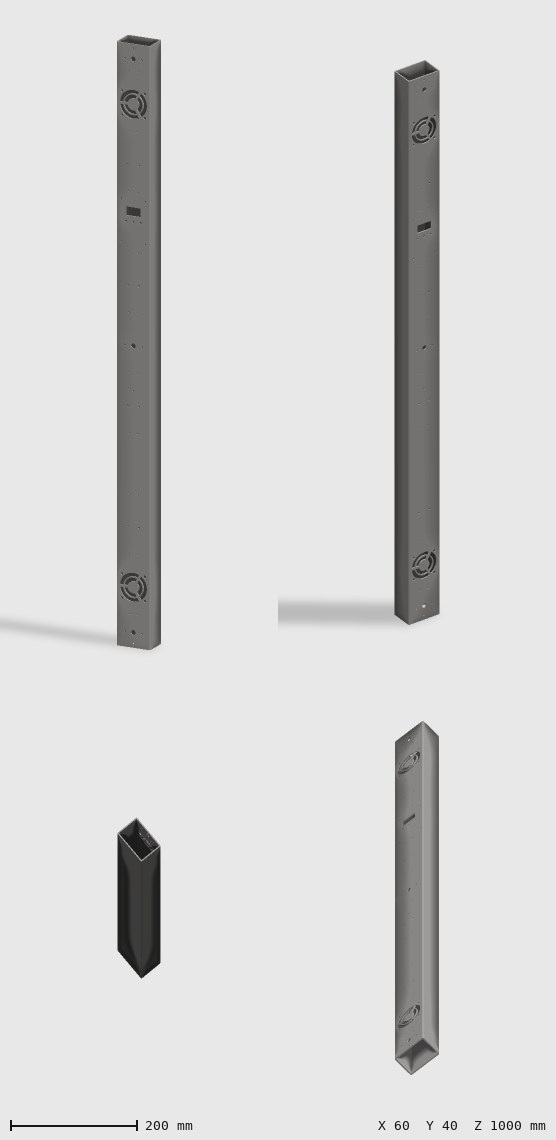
import cadquery as cq
WIDTH = 60.0
DEPTH = 40.0
HEIGHT = 1000.0
WALL = 2.0
OUTER_CORNER_RADIUS = 2.0
INNER_CORNER_RADIUS = 1.0

PAIR_DIAMETER = 2.2
PAIR_SPACING = 16.0
PAIR_PITCH = 100.0
PAIR_COUNT = 10
PAIR_SHIFT = 5.0
EXTRA_PAIR_DIAMETER = 3.0
EXTRA_PAIR_SPACING = 20.0
EXTRA_PAIR_PITCH = 200.0
EXTRA_PAIR_COUNT = 4

CABLE_DIAMETER = 8.0
CABLE_FIXING_DIAMETER = 3.0
CABLE_FIXING_SPACING = 30.0
CABLE_END_DISTANCE = 25.0

SINGLE_DIAMETER = 3.0
SINGLE_END_DISTANCE = 7.0
SINGLE_MIDDLE_Z = -75.0

WINDOW_WIDTH = 26.0
WINDOW_HEIGHT = 14.5
WINDOW_Z = 222.0
BUTTON_DIAMETER = 3.5
BUTTON_SPACING = 13.0
BUTTON_COUNT = 3
BUTTON_Z = 205.0
BOARD_HOLE_DIAMETER = 3.0
BOARD_SPACING_X = 42.0
BOARD_SPACING_Z = 71.0
BOARD_Z = 206.0

FAN_DISTANCE = 400.0
FAN_HOLE_DIAMETER = 4.5
FAN_HOLE_SPACING = 40.0
HUB_RADIUS = 10.0
SLOT_WIDTH = 6.0
RING_GAP = 2.0
RING_COUNT = 2
SPOKE_WIDTH = 4.0
SPOKE_ANGLES = (60.0, 180.0, 300.0)


def centred_series(count, pitch):
    """Evenly spaced positions, symmetric about zero."""
    return [(i - (count - 1) / 2) * pitch for i in range(count)]


def make_tube():
    outer = cq.Workplane("XY").rect(WIDTH, DEPTH).extrude(HEIGHT)
    outer = outer.edges("|Z").fillet(OUTER_CORNER_RADIUS)
    inner = cq.Workplane("XY").rect(WIDTH - 2 * WALL, DEPTH - 2 * WALL).extrude(HEIGHT)
    inner = inner.edges("|Z").fillet(INNER_CORNER_RADIUS)
    return outer.cut(inner).translate((0, 0, -HEIGHT / 2))


def front_wall(z=0.0):
    """Plane on the inner side of the front (-Y) wall; extruding by WALL passes through it."""
    return cq.Workplane("XZ", origin=(0, WALL - DEPTH / 2, z))


def round_holes(points, diameter):
    return front_wall().pushPoints(points).circle(diameter / 2).extrude(WALL)


def pair_holes(heights, spacing, diameter):
    points = [(x, z) for z in heights for x in centred_series(2, spacing)]
    return round_holes(points, diameter)


def cable_holes():
    heights = centred_series(3, HEIGHT / 2 - CABLE_END_DISTANCE)
    cables = round_holes([(0, z) for z in heights], CABLE_DIAMETER)
    return cables.add(pair_holes(heights, CABLE_FIXING_SPACING, CABLE_FIXING_DIAMETER)).combine()


def single_holes():
    end_z = HEIGHT / 2 - SINGLE_END_DISTANCE
    points = [(0, z) for z in (-end_z, SINGLE_MIDDLE_Z, end_z)]
    return round_holes(points, SINGLE_DIAMETER)


def display_window():
    return front_wall(WINDOW_Z).rect(WINDOW_WIDTH, WINDOW_HEIGHT).extrude(WALL)


def button_holes():
    points = [(x, BUTTON_Z) for x in centred_series(BUTTON_COUNT, BUTTON_SPACING)]
    return round_holes(points, BUTTON_DIAMETER)


def corner_holes(z, spacing_x, spacing_z, diameter):
    """Four holes at the corners of a rectangle centred at height z."""
    corners = front_wall(z).rect(spacing_x, spacing_z, forConstruction=True).vertices()
    return corners.circle(diameter / 2).extrude(WALL)


def grille_slots(z):
    slots = cq.Workplane("XZ")
    for i in range(RING_COUNT):
        inner_radius = HUB_RADIUS + i * (SLOT_WIDTH + RING_GAP)
        ring = front_wall(z).circle(inner_radius + SLOT_WIDTH).circle(inner_radius)
        slots = slots.add(ring.extrude(WALL))
    slots = slots.combine()
    spoke_length = HUB_RADIUS + RING_COUNT * (SLOT_WIDTH + RING_GAP)
    for angle in SPOKE_ANGLES:
        plane = front_wall(z).transformed(rotate=(0, 0, angle))
        spoke = plane.center(spoke_length / 2, 0).rect(spoke_length, SPOKE_WIDTH).extrude(WALL)
        slots = slots.cut(spoke)
    return slots


result = make_tube()
pair_heights = [z + PAIR_SHIFT for z in centred_series(PAIR_COUNT, PAIR_PITCH)]
extra_pair_heights = centred_series(EXTRA_PAIR_COUNT, EXTRA_PAIR_PITCH)
result = result.cut(pair_holes(pair_heights, PAIR_SPACING, PAIR_DIAMETER))
result = result.cut(pair_holes(extra_pair_heights, EXTRA_PAIR_SPACING, EXTRA_PAIR_DIAMETER))
result = result.cut(cable_holes())
result = result.cut(single_holes())
result = result.cut(display_window())
result = result.cut(button_holes())
result = result.cut(corner_holes(BOARD_Z, BOARD_SPACING_X, BOARD_SPACING_Z, BOARD_HOLE_DIAMETER))
for fan_z in (-FAN_DISTANCE, FAN_DISTANCE):
    result = result.cut(grille_slots(fan_z))
    result = result.cut(corner_holes(fan_z, FAN_HOLE_SPACING, FAN_HOLE_SPACING, FAN_HOLE_DIAMETER))